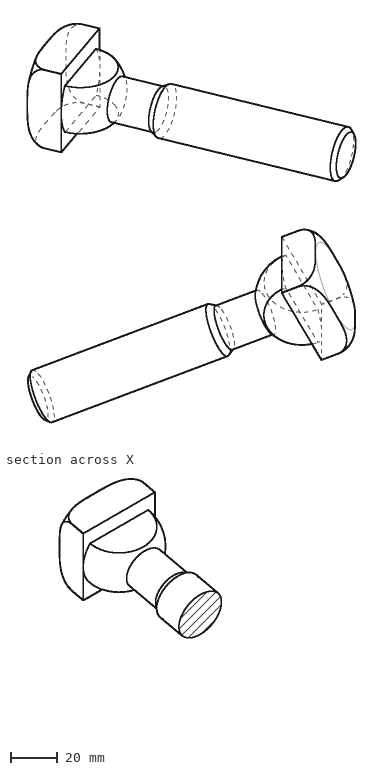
import cadquery as cq

total_length = 141.0

head_width = 40.0
head_thickness = 16.0
blank_diameter = 56.4
head_round = (blank_diameter - head_width) / 2

collar_radius = head_width / 2
collar_flat_height = 23.5

neck_diameter = 20.3
shank_diameter = 24.0
neck_end = 52.7
shoulder_length = 3.0
tip_chamfer_length = 2.0
tip_chamfer_depth = (shank_diameter - neck_diameter) / 2


def make_head():
    """Square block whose front corners are turned to a round, in line with the blank."""
    block = cq.Workplane("YZ").rect(head_width, head_width).extrude(head_thickness)
    blank = (
        cq.Workplane("YZ")
        .circle(blank_diameter / 2)
        .extrude(head_thickness)
        .faces("<X")
        .edges()
        .fillet(head_round)
    )
    return block.intersect(blank)


def make_collar():
    """Half ball centred on the back of the head, cut by two flats."""
    ball = cq.Workplane("XY", origin=(head_thickness, 0, 0)).sphere(collar_radius)
    slab = (
        cq.Workplane("YZ", origin=(head_thickness, 0, 0))
        .rect(2 * collar_radius, collar_flat_height)
        .extrude(collar_radius)
    )
    return ball.intersect(slab)


def make_shaft():
    """Turned neck, conical shoulder and shank with a chamfered tip."""
    neck_radius = neck_diameter / 2
    shank_radius = shank_diameter / 2
    return (
        cq.Workplane("XY")
        .moveTo(head_thickness, 0)
        .lineTo(head_thickness, neck_radius)
        .lineTo(neck_end, neck_radius)
        .lineTo(neck_end + shoulder_length, shank_radius)
        .lineTo(total_length - tip_chamfer_length, shank_radius)
        .lineTo(total_length, shank_radius - tip_chamfer_depth)
        .lineTo(total_length, 0)
        .close()
        .revolve(360, (0, 0, 0), (1, 0, 0))
    )


result = make_head().union(make_collar()).union(make_shaft())